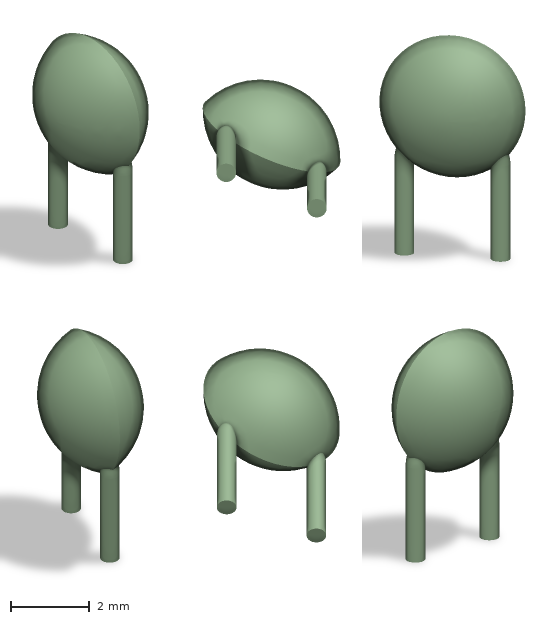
import cadquery as cq

body_diameter = 3.8
body_thickness = 2.6

lead_diameter = 0.5
lead_pitch = 2.5
lead_straight_length = 2.55
lead_bend_radius = 0.6

overall_height = 5.9
body_radius = body_diameter / 2
body_center_z = overall_height - body_radius


def make_body():
    """Revolve half of the lens profile about the Y direction through the body centre."""
    half_thickness = body_thickness / 2
    sphere_radius = (body_radius**2 + half_thickness**2) / body_thickness
    sphere_center_y = sphere_radius - half_thickness
    mid_x = body_radius / 2
    mid_y = (sphere_radius**2 - mid_x**2) ** 0.5 - sphere_center_y
    return (
        cq.Workplane("XY")
        .moveTo(0, -half_thickness)
        .threePointArc((mid_x, -mid_y), (body_radius, 0))
        .threePointArc((mid_x, mid_y), (0, half_thickness))
        .close()
        .revolve(360, (0, 0, 0), (0, 1, 0))
        .translate((0, 0, body_center_z))
    )


def make_lead(side):
    """Round wire that rises straight, then bends inward into the body; side is -1 or 1 along X."""
    lead_x = side * lead_pitch / 2
    straight = cq.Workplane("XY").center(lead_x, 0).circle(lead_diameter / 2).extrude(lead_straight_length)
    bend = (
        cq.Workplane("XY", origin=(lead_x, 0, lead_straight_length))
        .circle(lead_diameter / 2)
        .revolve(90, (-side * lead_bend_radius, 0, 0), (-side * lead_bend_radius, -side, 0))
    )
    return straight.union(bend)


result = make_body()
for lead_side in (-1, 1):
    result = result.union(make_lead(lead_side))